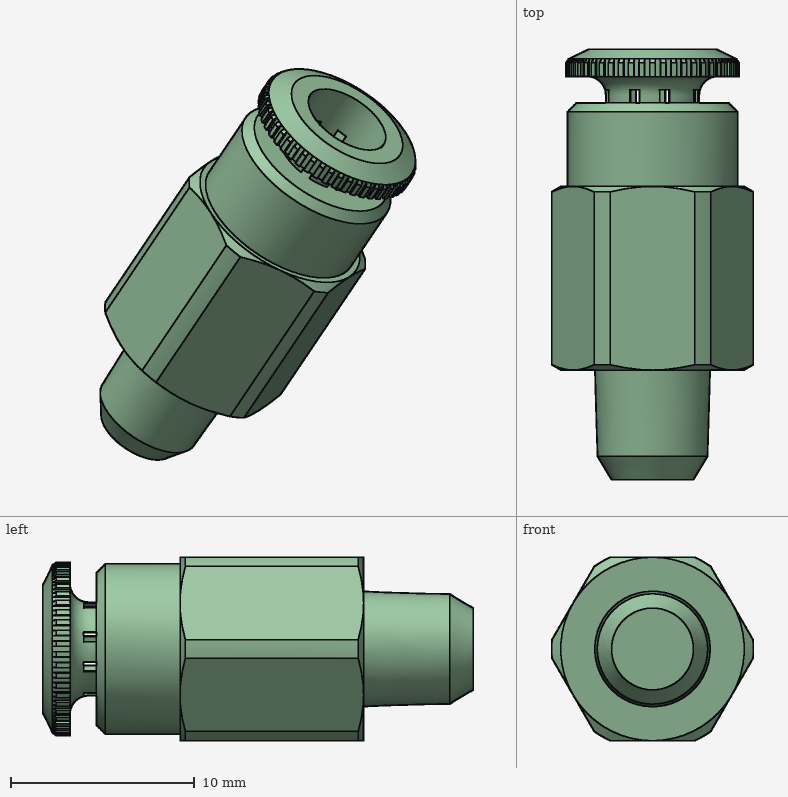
import cadquery as cq
import math


plug_length = 5.98
plug_root_radius = 3.15
plug_taper_end_radius = 3.0
plug_tip_radius = 2.23
plug_tip_length = 1.3

hex_sides = 6
hex_length = 10.0
hex_across_flats = 10.0
hex_across_corners = 11.0
hex_chamfer_angle = 30

body_length = 4.55
body_radius = 4.65
body_chamfer = 0.5

neck_length = 1.43
neck_radius = 2.55
flare_radius = 0.99
bore_radius = 2.42
head_length = 1.5
head_face_radius = 3.47
head_cone_length = 0.55
groove_floor_radius = 4.57
head_radius = 4.72
tooth_chamfer_length = 0.2
tooth_count = 50

slot_width = 0.56
slot_length = 0.7
slot_set_angles = (22.5, 75)
slots_per_set = 4

hex_end = hex_length
body_end = hex_end + body_length
head_start = body_end + neck_length
head_end = head_start + head_length


def turned(points):
    """Solid of revolution about Y from (radius, y) points; the first and last lie on the axis."""
    return cq.Workplane("XY").polyline(points).close().revolve(360, (0, 0), (0, 1))


def radial_bar(angle, width, reach, y_start, y_end):
    """Bar running outwards from the Y axis at an angle measured from +X towards +Z."""
    bar = cq.Workplane("XY").box(reach, y_end - y_start, width, centered=(False, False, True))
    return bar.translate((0, y_start, 0)).rotate((0, 0, 0), (0, 1, 0), -angle)


def make_plug():
    return turned([
        (0, -plug_length),
        (plug_tip_radius, -plug_length),
        (plug_taper_end_radius, -plug_length + plug_tip_length),
        (plug_root_radius, 0),
        (0, 0),
    ])


def make_hexagon():
    flat_radius = hex_across_flats / 2
    corner_radius = hex_across_corners / 2
    sharp_corner_diameter = hex_across_flats / math.cos(math.pi / hex_sides)
    prism = cq.Workplane("XZ").polygon(hex_sides, sharp_corner_diameter).extrude(-hex_length)
    chamfer_length = (corner_radius - flat_radius) * math.tan(math.radians(hex_chamfer_angle))
    envelope = turned([
        (0, 0),
        (flat_radius, 0),
        (corner_radius, chamfer_length),
        (corner_radius, hex_end - chamfer_length),
        (flat_radius, hex_end),
        (0, hex_end),
    ])
    return prism.intersect(envelope)


def make_body():
    return turned([
        (0, hex_end),
        (body_radius, hex_end),
        (body_radius, body_end - body_chamfer),
        (body_radius - body_chamfer, body_end),
        (0, body_end),
    ])


def make_neck():
    """Round neck that flares with a tangent arc into the underside of the head."""
    flare_start = head_start - flare_radius
    arc_reach = flare_radius * (1 - math.sqrt(0.5))
    return (
        cq.Workplane("XY")
        .moveTo(0, body_end)
        .lineTo(neck_radius, body_end)
        .lineTo(neck_radius, flare_start)
        .threePointArc(
            (neck_radius + arc_reach, head_start - arc_reach),
            (neck_radius + flare_radius, head_start),
        )
        .lineTo(0, head_start)
        .close()
        .revolve(360, (0, 0), (0, 1))
    )


def point_on_circle(radius, angle):
    return radius * math.cos(angle), radius * math.sin(angle)


def make_toothed_prism(length):
    """Prism along +Y with equally wide teeth and grooves; a groove is centred on +X."""
    step = math.pi / tooth_count
    outline = cq.Workplane("XZ", origin=(0, head_start, 0))
    outline = outline.moveTo(*point_on_circle(groove_floor_radius, -step / 2))
    for i in range(tooth_count):
        groove_angle = 2 * i * step
        tooth_angle = groove_angle + step
        for radius, next_radius, angle in (
            (groove_floor_radius, head_radius, groove_angle),
            (head_radius, groove_floor_radius, tooth_angle),
        ):
            arc_end = angle + step / 2
            outline = outline.threePointArc(point_on_circle(radius, angle), point_on_circle(radius, arc_end))
            outline = outline.lineTo(*point_on_circle(next_radius, arc_end))
    return outline.close().extrude(-length)


def make_head():
    """Knurled disc with a conical outer end; the teeth are chamfered where they meet the cone."""
    cone_start = head_end - head_cone_length
    envelope = turned([
        (0, head_start),
        (head_radius, head_start),
        (head_radius, cone_start - tooth_chamfer_length),
        (groove_floor_radius, cone_start),
        (head_face_radius, head_end),
        (0, head_end),
    ])
    return make_toothed_prism(head_length).intersect(envelope)


def cut_bore(part):
    """Tube bore, open through the head and ending level with the body's end face."""
    depth = head_end - body_end
    bore = cq.Workplane("XZ", origin=(0, body_end, 0)).circle(bore_radius).extrude(-depth)
    return part.cut(bore)


def cut_slots(part):
    for set_angle in slot_set_angles:
        for i in range(slots_per_set):
            angle = set_angle + i * 360 / slots_per_set
            part = part.cut(radial_bar(angle, slot_width, head_radius, body_end, body_end + slot_length))
    return part


solid_fitting = make_plug()
for section in (make_hexagon(), make_body(), make_neck(), make_head()):
    solid_fitting = solid_fitting.union(section)

result = cut_slots(cut_bore(solid_fitting))